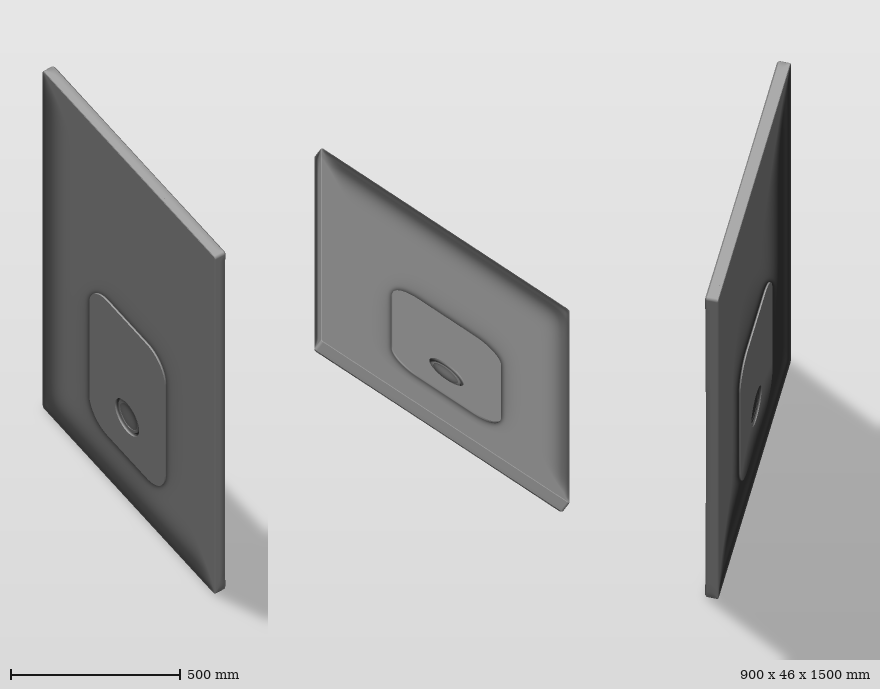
import cadquery as cq
import math

width = 900.0
height = 1500.0
depth = 46.0
corner_radius = 9.0

pad_depth = 6.0
board_depth = 9.0
tray_depth = depth - pad_depth - board_depth
pad_front = -depth / 2
board_front = pad_front + pad_depth
tray_front = board_front + board_depth
tray_back = tray_front + tray_depth

board_chamfer_depth = 2.0
board_chamfer_width = 2.2
rim_chamfer = 5.2
dish_sag = 3.8

pad_width = 393.0
pad_height = 595.0
pad_radius = 93.0
pad_center_z = -250.0

drain_center_z = -374.0
drain_radius = 63.0
drain_top_radius = 54.0
drain_bevel_depth = 8.0
drain_recess = 6.0
drain_dimple_radius = 45.0
drain_dimple_depth = 2.0
drain_front = pad_front + drain_recess


def plate(front, thickness, size_x, size_z, radius, center_z=0.0):
    """Rounded rectangular plate whose front face lies at Y = front."""
    return (
        cq.Workplane("XY")
        .box(size_x, thickness, size_z)
        .edges("|Y")
        .fillet(radius)
        .translate((0, front + thickness / 2, center_z))
    )


def disc(front, thickness, radius):
    """Disc on the drain axis whose front face lies at Y = front."""
    return (
        cq.Workplane("XZ", origin=(0, front, drain_center_z))
        .circle(radius)
        .extrude(-thickness)
    )


def make_tray():
    """Tray with a chamfered rim and a shallow spherical dish in its back."""
    body = plate(tray_front, tray_depth, width, height, corner_radius)
    body = body.faces(">Y").edges().chamfer(rim_chamfer)
    corner_reach = math.hypot(width / 2 - rim_chamfer, height / 2 - rim_chamfer)
    dish_radius = (corner_reach**2 + dish_sag**2) / (2 * dish_sag)
    dish_center_y = tray_back - dish_sag + dish_radius
    dish = cq.Workplane("XY").sphere(dish_radius).translate((0, dish_center_y, 0))
    return body.cut(dish)


def make_board():
    """Board under the tray, with the raised pad and the drain hole."""
    board = plate(board_front, board_depth, width, height, corner_radius)
    board = board.faces("<Y").edges().chamfer(board_chamfer_width, board_chamfer_depth)
    pad = plate(pad_front, pad_depth, pad_width, pad_height, pad_radius, pad_center_z)
    hole = disc(pad_front, pad_depth + board_depth, drain_radius)
    return board.union(pad).cut(hole)


def make_drain():
    """Drain cap with a bevelled edge and a shallow round dimple."""
    cap = disc(drain_front, tray_front - drain_front, drain_radius)
    bevel_width = drain_radius - drain_top_radius
    cap = cap.faces("<Y").edges().chamfer(drain_bevel_depth, bevel_width)
    return cap.cut(disc(drain_front, drain_dimple_depth, drain_dimple_radius))


tray = make_tray()
board = make_board()
drain = make_drain()

result = cq.Compound.makeCompound([tray.val(), board.val(), drain.val()])